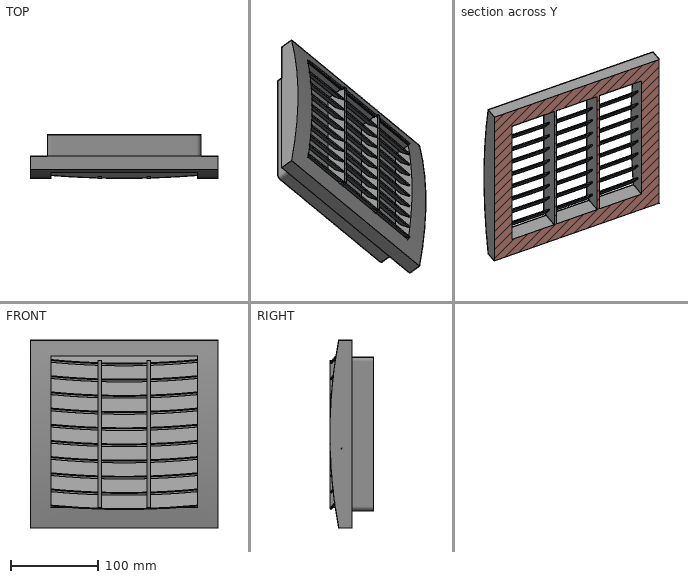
import cadquery as cq
import math

frame_size = 215.0
total_depth = 50.0
box_depth = 24.5
box_size = 176.0
box_corner_radius = 5.0
frame_depth = total_depth - box_depth
frame_edge_depth = 15.5
front_y = -frame_depth

opening_size = 168.0
half_opening = opening_size / 2

slat_count = 10
slat_pitch = 18.5
slat_angle = math.radians(50.0)
slat_thickness = 1.6
slat_height = 15.4
slat_bow = 3.4
top_slat_front_z = 81.2

bar_width = 3.5
bar_spacing = opening_size / 3


def make_rear_box():
    """Square spigot with rounded corners behind the frame."""
    box = cq.Workplane("XY").box(box_size, box_depth, box_size, centered=(True, False, True))
    return box.edges("|Y").fillet(box_corner_radius)


def make_frame():
    """Frame block with a front that is crowned from bottom to top."""
    half_size = frame_size / 2
    return (
        cq.Workplane("YZ")
        .moveTo(0, -half_size)
        .lineTo(-frame_edge_depth, -half_size)
        .threePointArc((front_y, 0), (-frame_edge_depth, half_size))
        .lineTo(0, half_size)
        .close()
        .extrude(half_size, both=True)
    )


def make_through_block(width):
    """Block of the given width over the full height of the opening and depth of the frame."""
    block = cq.Workplane("XY").box(width, frame_depth, opening_size)
    return block.translate((0, front_y / 2, 0))


def make_slat(front_z):
    """Blade rising rearwards from its front edge, whose middle is at front_y, front_z."""
    blade_length = slat_height / math.sin(slat_angle)
    blade_bow = slat_bow / math.cos(slat_angle)
    blade_plane = cq.Plane(
        origin=(0, front_y, front_z),
        xDir=(1, 0, 0),
        normal=(0, -math.sin(slat_angle), math.cos(slat_angle)),
    )
    return (
        cq.Workplane(blade_plane)
        .moveTo(-half_opening, blade_bow)
        .threePointArc((0, 0), (half_opening, blade_bow))
        .lineTo(half_opening, blade_bow + blade_length)
        .threePointArc((0, blade_length), (-half_opening, blade_bow + blade_length))
        .close()
        .extrude(-slat_thickness)
    )


opening = make_through_block(opening_size)
bar = make_through_block(bar_width)

result = make_frame().cut(opening).union(make_rear_box())
for index in range(slat_count):
    result = result.union(make_slat(top_slat_front_z - index * slat_pitch))
for side in (-1, 1):
    result = result.union(bar.translate((side * bar_spacing / 2, 0, 0)))